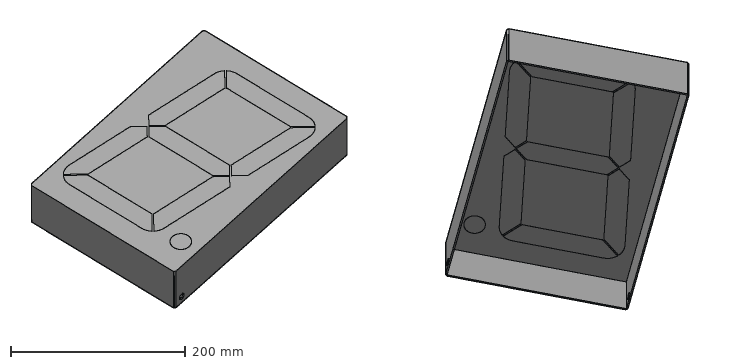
import cadquery as cq
import math

LENGTH_X = 215.2
LENGTH_Y = 313.5
HEIGHT = 62.0
CORNER_CHAMFER = 2.2
WALL = 2.0
FACE_THICKNESS = 9.5

CABLE_HOLE_DIAMETER = 8.0
CABLE_HOLE_Y = -144.0
CABLE_HOLE_Z = 10.0

SLANT_DEGREES = 10.0
DIGIT_HALF_WIDTH = 74.0
DIGIT_HALF_HEIGHT = 128.0
STROKE = 24.8
DIGIT_CORNER_RADIUS = 20.0
JOINT_GAP = 2.5

DOT_DIAMETER = 24.8
DOT_X = 82.5
DOT_Y = -115.5

HALF_STROKE = STROKE / 2
UPRIGHT_HALF_STROKE = HALF_STROKE / math.cos(math.radians(SLANT_DEGREES))
JOINT_X = DIGIT_HALF_WIDTH - UPRIGHT_HALF_STROKE
JOINT_Y = DIGIT_HALF_HEIGHT - HALF_STROKE
FACE_BOTTOM = HEIGHT - FACE_THICKNESS


def lean(points):
    """Shear upright points to the right by the slant of the digit."""
    slope = math.tan(math.radians(SLANT_DEGREES))
    return [(x + y * slope, y) for x, y in points]


def face_prism(points):
    """Prism through the face plate, on a slanted outline."""
    plane = cq.Workplane("XY").workplane(offset=FACE_BOTTOM)
    return plane.polyline(lean(points)).close().extrude(FACE_THICKNESS)


def make_digit_envelope():
    """Slanted block with rounded corners that bounds the whole digit."""
    w = DIGIT_HALF_WIDTH
    h = DIGIT_HALF_HEIGHT
    return face_prism([(-w, -h), (w, -h), (w, h), (-w, h)]).edges("|Z").fillet(DIGIT_CORNER_RADIUS)


def middle_bar_outline():
    """Hexagon with a point at both ends."""
    tip = JOINT_X - JOINT_GAP / 2
    shoulder = tip - UPRIGHT_HALF_STROKE
    s = HALF_STROKE
    return [(-tip, 0), (-shoulder, -s), (shoulder, -s), (tip, 0), (shoulder, s), (-shoulder, s)]


def end_bar_outline(end):
    """Trapezoid with mitred ends and its long side outward; end is 1 at the top and -1 at the bottom."""
    middle = JOINT_X - JOINT_GAP / 2
    inner_half = middle - UPRIGHT_HALF_STROKE
    outer_half = middle + UPRIGHT_HALF_STROKE
    inner_y = end * (JOINT_Y - HALF_STROKE)
    outer_y = end * (JOINT_Y + HALF_STROKE)
    return [(-inner_half, inner_y), (inner_half, inner_y), (outer_half, outer_y), (-outer_half, outer_y)]


def upright_outline(side, end):
    """Upright pointed at mid-height and mitred at its other end; side is 1 at the right, -1 at the left."""
    tip = JOINT_GAP / 2
    shoulder = tip + HALF_STROKE
    inner = JOINT_X - UPRIGHT_HALF_STROKE
    outer = JOINT_X + UPRIGHT_HALF_STROKE
    mitre = JOINT_Y - JOINT_GAP / 2
    inner_end = mitre - HALF_STROKE
    outer_end = mitre + HALF_STROKE
    points = [(JOINT_X, tip), (outer, shoulder), (outer, outer_end), (inner, inner_end), (inner, shoulder)]
    return [(side * x, end * y) for x, y in points]


def make_segments():
    """The seven light segments, each a separate solid flush with the face."""
    envelope = make_digit_envelope()
    outlines = [middle_bar_outline()]
    for end in (1, -1):
        outlines.append(end_bar_outline(end))
        for side in (1, -1):
            outlines.append(upright_outline(side, end))
    return [face_prism(outline).intersect(envelope) for outline in outlines]


def make_dot():
    """Round decimal point, flush with the face."""
    plane = cq.Workplane("XY").workplane(offset=FACE_BOTTOM)
    return plane.center(DOT_X, DOT_Y).circle(DOT_DIAMETER / 2).extrude(FACE_THICKNESS)


def make_housing(inserts):
    """Hollow housing whose face has a matching opening for every insert."""
    body = cq.Workplane("XY").box(LENGTH_X, LENGTH_Y, HEIGHT, centered=(True, True, False))
    body = body.edges("|Z").chamfer(CORNER_CHAMFER)
    cavity = cq.Workplane("XY").box(
        LENGTH_X - 2 * WALL, LENGTH_Y - 2 * WALL, FACE_BOTTOM, centered=(True, True, False)
    )
    cable_hole = (
        cq.Workplane("YZ")
        .center(CABLE_HOLE_Y, CABLE_HOLE_Z)
        .circle(CABLE_HOLE_DIAMETER / 2)
        .extrude(LENGTH_X / 2, both=True)
    )
    body = body.cut(cavity).cut(cable_hole)
    for insert in inserts:
        body = body.cut(insert)
    return body


segments = make_segments()
dot = make_dot()
housing = make_housing([*segments, dot])

result = cq.Compound.makeCompound([housing.val(), *[segment.val() for segment in segments], dot.val()])